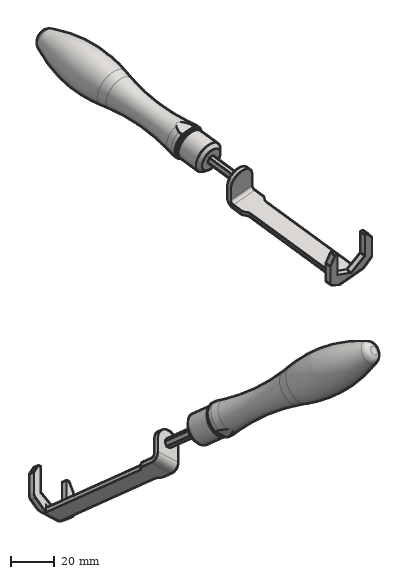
import cadquery as cq
import math

butt_flat_radius = 2.3
butt_round_radius = 3.7
butt_round_angle = math.radians(16)
belly_x = 31.8
belly_radius = 11.5
belly_end_x = 46.5
belly_end_radius = 9.8
neck_start_x = 51.5
neck_start_radius = 8.8
waist_x = 73.0
waist_radius = 6.8
neck_end_x = 90.8
neck_end_radius = 8.2
collar_x = 94.5
collar_radius = 8.8
groove_x = 96.8
groove_radius = 7.5
ferrule_x = 98.2
ferrule_radius = 8.0
ferrule_chamfer = 2.0
handle_length = 112.1
flat_height = ferrule_radius

overall_length = 205.0
rod_across_flats = 4.0
tab_x = 129.8
tab_radius = 7.0
sheet_thickness = 2.5
strap_bottom = -11.5
strap_top = strap_bottom + sheet_thickness
bend_inner_radius = 1.75
bend_outer_radius = bend_inner_radius + sheet_thickness
strap_half_width = 5.3
taper_x = 141.2
taper_arc_radius = 3.3
fork_thickness = 3.0
fork_x = overall_length - fork_thickness
fork_half_width = 13.5
fork_inner_half_width = 8.8
fork_top = 11.5
fork_tip_outer_y = 10.5
fork_shoulder_z = 6.5
fork_outer_corner_z = -6.0
fork_inner_corner_z = -2.3
fork_notch_z = -7.2
fork_corner_radius = 2.5
fork_bend_radius = 2.5


def make_handle():
    """Revolved grip with two flats milled into the flared collar."""
    round_sin = math.sin(butt_round_angle)
    round_cos = math.cos(butt_round_angle)
    round_end = (butt_round_radius * (1 - round_sin), butt_flat_radius + butt_round_radius * round_cos)
    half_angle = (math.pi / 2 - butt_round_angle) / 2
    round_middle = (
        butt_round_radius * (1 - math.cos(half_angle)),
        butt_flat_radius + butt_round_radius * math.sin(half_angle),
    )
    profile = (
        cq.Workplane("XY")
        .moveTo(0, 0)
        .lineTo(0, butt_flat_radius)
        .threePointArc(round_middle, round_end)
        .spline([(belly_x, belly_radius), (belly_end_x, belly_end_radius)], includeCurrent=True)
        .lineTo(neck_start_x, neck_start_radius)
        .threePointArc((waist_x, waist_radius), (neck_end_x, neck_end_radius))
        .lineTo(collar_x, collar_radius)
        .lineTo(groove_x, collar_radius)
        .lineTo(groove_x, groove_radius)
        .lineTo(ferrule_x, groove_radius)
        .lineTo(ferrule_x, ferrule_radius)
        .lineTo(handle_length - ferrule_chamfer, ferrule_radius)
        .lineTo(handle_length, ferrule_radius - ferrule_chamfer)
        .lineTo(handle_length, 0)
        .close()
    )
    handle = profile.revolve(360, (0, 0, 0), (1, 0, 0))
    flat_start_x = waist_x
    for side in (1, -1):
        cutter = cq.Workplane("XY").box(
            groove_x - flat_start_x, 2 * belly_radius, belly_radius, centered=(False, True, True)
        )
        handle = handle.cut(cutter.translate((flat_start_x, 0, side * (flat_height + belly_radius / 2))))
    return handle


def make_rod():
    """Hexagonal rod from the handle face to the tab, flats facing up and down."""
    across_corners = rod_across_flats / math.cos(math.pi / 6)
    return (
        cq.Workplane("YZ", origin=(handle_length, 0, 0))
        .polygon(6, across_corners)
        .extrude(tab_x - handle_length)
    )


def make_tab():
    """Upright tab with a round top."""
    return (
        cq.Workplane("YZ", origin=(tab_x, 0, 0))
        .moveTo(-tab_radius, strap_bottom)
        .lineTo(-tab_radius, 0)
        .threePointArc((0, tab_radius), (tab_radius, 0))
        .lineTo(tab_radius, strap_bottom)
        .close()
        .extrude(sheet_thickness)
    )


def make_strap():
    """Flat strap that narrows from the tab width through a pair of tangent arcs on each side."""
    half_step = (tab_radius - strap_half_width) / 2
    sweep = math.acos(1 - half_step / taper_arc_radius)
    half_run = taper_arc_radius * math.sin(sweep)
    middle_run = taper_arc_radius * math.sin(sweep / 2)
    middle_drop = taper_arc_radius * (1 - math.cos(sweep / 2))
    wide_end_x = taper_x - half_run
    narrow_start_x = taper_x + half_run
    middle_half_width = strap_half_width + half_step
    wide_arc = (wide_end_x + middle_run, tab_radius - middle_drop)
    narrow_arc = (narrow_start_x - middle_run, strap_half_width + middle_drop)
    half_strap = (
        cq.Workplane("XY", origin=(0, 0, strap_bottom))
        .moveTo(tab_x, 0)
        .lineTo(tab_x, tab_radius)
        .lineTo(wide_end_x, tab_radius)
        .threePointArc(wide_arc, (taper_x, middle_half_width))
        .threePointArc(narrow_arc, (narrow_start_x, strap_half_width))
        .lineTo(overall_length, strap_half_width)
        .lineTo(overall_length, 0)
        .close()
        .extrude(sheet_thickness)
    )
    return half_strap.union(half_strap.mirror("XZ"))


def make_fork():
    """Two-pronged fork with a V-shaped notch."""
    right_side = [
        (strap_half_width, strap_bottom),
        (fork_half_width, fork_outer_corner_z),
        (fork_half_width, fork_shoulder_z),
        (fork_tip_outer_y, fork_top),
        (fork_inner_half_width, fork_top),
        (fork_inner_half_width, fork_inner_corner_z),
    ]
    left_side = [(-y, z) for y, z in reversed(right_side)]
    fork = (
        cq.Workplane("YZ", origin=(fork_x, 0, 0))
        .polyline(right_side + [(0, fork_notch_z)] + left_side)
        .close()
        .extrude(fork_thickness)
    )
    corner_x = fork_x + fork_thickness / 2
    for side in (1, -1):
        corner = cq.selectors.NearestToPointSelector((corner_x, side * fork_half_width, fork_outer_corner_z))
        fork = fork.edges("|X").edges(corner).fillet(fork_corner_radius)
    return fork


def make_fork_bend():
    """Concave fillet between the strap and the fork."""
    bend_start_x = fork_x - bend_inner_radius
    arc_offset = bend_inner_radius * math.sin(math.pi / 4)
    arc_middle = (bend_start_x + arc_offset, strap_top + bend_inner_radius - arc_offset)
    return (
        cq.Workplane("XZ")
        .moveTo(bend_start_x, strap_top)
        .threePointArc(arc_middle, (fork_x, strap_top + bend_inner_radius))
        .lineTo(fork_x, strap_top)
        .close()
        .extrude(strap_half_width, both=True)
    )


def make_blade():
    """Rod, tab, strap and fork as one solid with rounded sheet bends."""
    bracket = make_tab().union(make_strap())
    inner_bend = cq.selectors.NearestToPointSelector((tab_x + sheet_thickness, 0, strap_top))
    bracket = bracket.edges("|Y").edges(inner_bend).fillet(bend_inner_radius)
    bracket = bracket.faces("<X").edges("<Z").fillet(bend_outer_radius)
    bracket = bracket.union(make_fork()).union(make_fork_bend())
    bracket = bracket.faces(">X").edges("<Z").fillet(fork_bend_radius)
    return bracket.union(make_rod())


handle = make_handle()
blade = make_blade()
result = cq.Compound.makeCompound([handle.solids().val(), blade.solids().val()])